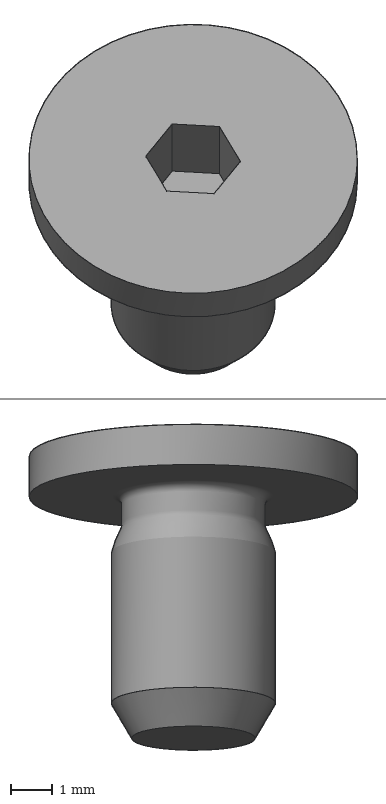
import cadquery as cq
import math

head_radius = 4.0
head_thickness = 1.0

total_length = 7.0
shank_radius = 2.0
tip_radius = 1.5
tip_half_angle = math.radians(30)

neck_radius = 1.75
head_fillet = 0.21
neck_end_depth = 0.7

shoulder_blend_radius = 0.3
shoulder_sphere_radius = 2.05

socket_across_flats = 2.0
socket_depth = 2.0

tip_end = head_thickness - total_length
tip_start = tip_end + (shank_radius - tip_radius) / math.tan(tip_half_angle)
neck_end = -neck_end_depth

center_distance = shoulder_sphere_radius + shoulder_blend_radius
blend_center_radius = neck_radius + shoulder_blend_radius
tangent_angle = math.acos(blend_center_radius / center_distance)
shank_angle = math.acos(shank_radius / shoulder_sphere_radius)
sphere_center = neck_end - center_distance * math.sin(tangent_angle)


def blend_point(angle):
    """Point (radius, height) on the blend arc, turned by angle from the neck."""
    radius = blend_center_radius - shoulder_blend_radius * math.cos(angle)
    height = neck_end - shoulder_blend_radius * math.sin(angle)
    return radius, height


def sphere_point(angle):
    """Point (radius, height) on the shoulder sphere, at angle above its equator."""
    radius = shoulder_sphere_radius * math.cos(angle)
    height = sphere_center + shoulder_sphere_radius * math.sin(angle)
    return radius, height


def fillet_midpoint():
    """Middle (radius, height) of the concave fillet under the head."""
    offset = head_fillet * (1 - math.sqrt(0.5))
    return neck_radius + offset, -offset


def make_body():
    """Head, neck and shank as one revolved half profile."""
    profile = (
        cq.Workplane("XZ")
        .moveTo(0, head_thickness)
        .lineTo(head_radius, head_thickness)
        .lineTo(head_radius, 0)
        .lineTo(neck_radius + head_fillet, 0)
        .threePointArc(fillet_midpoint(), (neck_radius, -head_fillet))
        .lineTo(neck_radius, neck_end)
        .threePointArc(blend_point(tangent_angle / 2), blend_point(tangent_angle))
        .threePointArc(sphere_point((tangent_angle + shank_angle) / 2), sphere_point(shank_angle))
        .lineTo(shank_radius, tip_start)
        .lineTo(tip_radius, tip_end)
        .lineTo(0, tip_end)
        .close()
    )
    return profile.revolve(360, (0, 0, 0), (0, 1, 0))


def make_socket():
    """Hexagonal prism sunk from the top of the head, with corners along X."""
    across_corners = socket_across_flats / math.cos(math.radians(30))
    return (
        cq.Workplane("XY")
        .workplane(offset=head_thickness - socket_depth)
        .polygon(6, across_corners)
        .extrude(socket_depth)
    )


result = make_body().cut(make_socket())